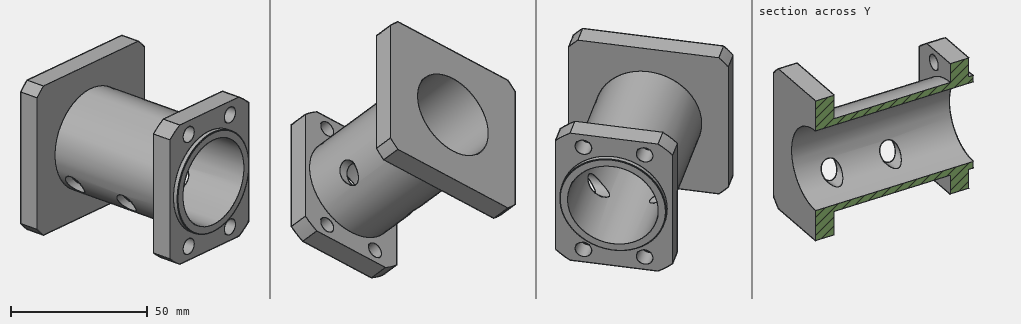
import cadquery as cq

total_length = 67.5
sleeve_diameter = 40.0
bore_diameter = 34.0
end_chamfer = 0.25

plate_thickness = 8.0
square_side = 60.0
square_corner_diameter = 80.0
flange_width = 44.0
flange_height = 56.0
flange_corner_diameter = 65.0
spigot_length = 2.0
flange_start = total_length - spigot_length - plate_thickness

mount_hole_diameter = 6.2
mount_pitch_y = 23.0
mount_pitch_z = 45.0

cross_hole_diameter = 8.0
cross_hole_first = 14.55
cross_hole_pitch = 25.0
cross_hole_count = 2
cross_hole_drop = 11.25


def cylinder_x(diameter, start, length):
    """Cylinder on the X axis."""
    return cq.Workplane("YZ", origin=(start, 0, 0)).circle(diameter / 2).extrude(length)


def turned_plate(width, height, corner_diameter, start):
    """Rectangular plate with its corners cut round by a circle about the X axis."""
    plate = cq.Workplane("YZ", origin=(start, 0, 0)).rect(width, height).extrude(plate_thickness)
    return plate.intersect(cylinder_x(corner_diameter, start, plate_thickness))


def mount_holes():
    """Four through holes at the corners of the flange."""
    return (
        cq.Workplane("YZ", origin=(flange_start, 0, 0))
        .rect(mount_pitch_y, mount_pitch_z, forConstruction=True)
        .vertices()
        .circle(mount_hole_diameter / 2)
        .extrude(plate_thickness)
    )


def cross_holes():
    """Row of holes below the axis, each crossing the whole sleeve along Y."""
    centers = [
        (cross_hole_first + i * cross_hole_pitch, -cross_hole_drop) for i in range(cross_hole_count)
    ]
    return (
        cq.Workplane("XZ")
        .pushPoints(centers)
        .circle(cross_hole_diameter / 2)
        .extrude(sleeve_diameter / 2, both=True)
    )


sleeve = cylinder_x(sleeve_diameter, 0, total_length).faces(">X").edges().chamfer(end_chamfer)
square_plate = turned_plate(square_side, square_side, square_corner_diameter, 0)
flange = turned_plate(flange_width, flange_height, flange_corner_diameter, flange_start)

result = (
    sleeve.union(square_plate)
    .union(flange)
    .cut(cylinder_x(bore_diameter, 0, total_length))
    .cut(mount_holes())
    .cut(cross_holes())
)